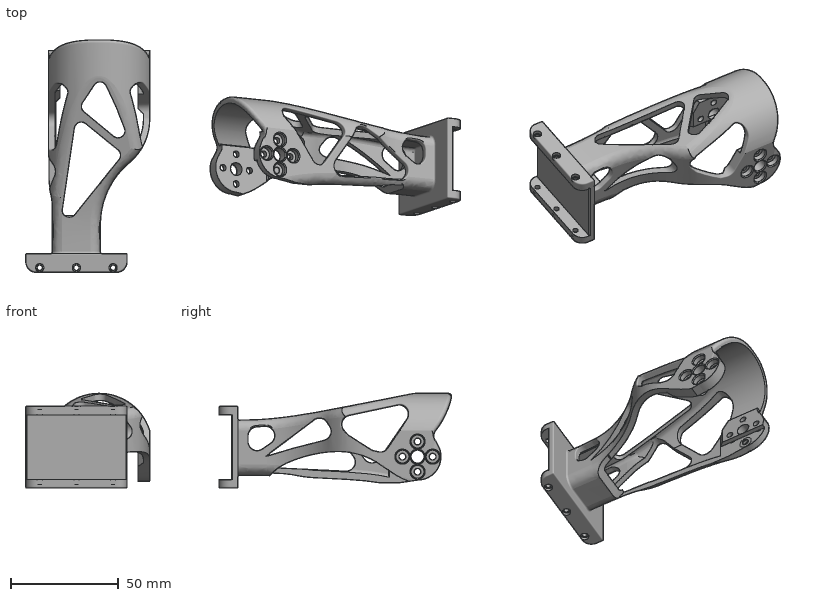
import cadquery as cq
import math


FAR = 60.0
WALL = 3.0

PLATE_WIDTH = 47.0
PLATE_HEIGHT = 37.98
PLATE_THICKNESS = 3.0
PLATE_CENTER_X = -10.5
PLATE_BOTTOM = -14.6
FLANGE_DEPTH = 8.75
FLANGE_THICKNESS = 4.0
FLANGE_CORNER = 5.0
STEM_BASE_FILLET = 0.8
PLATE_EDGE = 0.6
SCREW_HOLE = 2.4
SCREW_HEAD = 3.8
SCREW_HEAD_DEPTH = 1.6
SCREW_PITCH = 17.0
SCREW_INSET = 2.2

BODY_HALF_WIDTH = 23.5
ARCH_TOP = 29.38
ARCH_SPRING = 12.0
MOUTH_Y = 15.76
RIM_FILLET = 1.5
CHEEK_RADIUS = 10.9

PLATE_FRONT_Y = MOUTH_Y - 107.76
PLATE_BACK_Y = PLATE_FRONT_Y + FLANGE_DEPTH
STEM_END_Y = PLATE_BACK_Y - PLATE_THICKNESS / 2
STEM_LEFT = -21.7
STEM_RIGHT = 0.65
LEFT_BEND_START_Y = -62.0
LEFT_BEND_END_Y = -48.0
RIGHT_BEND_START_Y = -69.6
RIGHT_BEND_MID = (14.0, -41.2)
RIGHT_BEND_END_Y = -21.0

STEM_TOP = 17.0
ROOF_LINE = [(-60.0, 18.5), (-34.6, 22.9), (-1.5, 29.38), (FAR, 41.4)]
STEM_BOTTOM = -8.8
KEEL_LINE = [(-70.0, -8.8), (-45.0, -10.2), (-18.0, -12.3), (-3.4, -15.5), (FAR, -30.0)]
ROOF_CLEARANCE = 0.02
EDGE_FILLET = 5.0

PAD_INNER_X = 18.0
PAD_TOP = 10.7
LEFT_PAD_BACK_Y = -11.0
PAD_CLEARANCE = 1.5
RIGHT_PAD_BACK_Y = -16.0
AXLE_HOLE = 6.0
CHEEK_SCREW = 3.0
CHEEK_SCREW_HEAD = 6.0
HOLE_CHAMFER = 0.5
CHEEK_SCREW_RADIUS = 7.0
CHEEK_WEB = 2.5

LIP_X = -20.0
UNDERSIDE_BACK_Y = -61.0
UNDERSIDE_TOP = -3.0

WINDOW_FILLET = 4.2
WINDOW_EDGE = 0.5
FRONT_POCKET_X = 5.0
TOUCH = 1e-4
LEFT_POCKET_X = -15.0
FRONT_WINDOW = [(0.9, 26.0), (-38.4, 17.6), (-21.0, -5.9)]
REAR_WINDOW = [(-44.3, 19.7), (-24.4, -7.1), (-77.1, -4.6)]
STEM_WINDOW = [(-66.2, 14.3), (-78.5, 13.5), (-78.5, -1.0), (-66.2, 7.5)]
RIGHT_FRONT_WINDOW = [(0.9, 26.0), (-38.4, 17.6), (-32.4, 10.2), (-21.0, 2.9), (-15.2, 1.7)]
RIGHT_REAR_WINDOW = [(-44.3, 19.7), (-37.8, 9.3), (-44.0, 7.4), (-57.7, 3.9), (-70.3, 0.1)]
RIB_UNDERSIDE = [(-14.8, -5.4), (-20.0, -2.0), (-31.8, 2.0), (-42.3, 2.0), (-50.9, 0.4),
                 (-57.7, -1.8), (-64.2, -5.0), (-70.0, -11.0)]
RIB_START = (-3.0, -11.7)

UPPER_ROOF_WINDOW = [(0.9, -0.4), (7.9, -15.4), (16.2, -36.7), (-9.2, -15.7)]
LOWER_ROOF_WINDOW = [(-10.6, -19.5), (11.2, -37.2), (-18.7, -74.4)]
ROOF_WINDOW_FILLET = 3.2


def box(x0, x1, y0, y1, z0, z1):
    return cq.Workplane("XY").box(x1 - x0, y1 - y0, z1 - z0, centered=False).translate((x0, y0, z0))


def lower(points, drop):
    """Shift a list of (Y, Z) points down by the given amount."""
    return [(y, z - drop) for y, z in points]


def arch_body(inset):
    """Arch-topped section run along Y, cut off by the sloping roof, with the roof edges rounded."""
    rise = ARCH_TOP - ARCH_SPRING
    radius = (BODY_HALF_WIDTH**2 + rise**2) / (2 * rise)
    arch = (
        cq.Workplane("XZ", origin=(0, FAR, ARCH_TOP - radius))
        .circle(radius - inset)
        .extrude(2.5 * FAR)
    )
    base = box(inset - radius, radius - inset, -1.5 * FAR, FAR, -FAR, ARCH_TOP - radius)
    arch = arch.union(base).intersect(roofed_side(inset, -EDGE_FILLET))
    return arch.edges("%BSPLINE").edges(">Z").fillet(EDGE_FILLET - inset)


def roofed_side(roof_drop, keel_rise):
    """Prism along X between the sloping roof and the keel, each shifted towards the inside."""
    roof = lower(ROOF_LINE, roof_drop)
    keel = lower(KEEL_LINE, -keel_rise)
    return (
        cq.Workplane("YZ", origin=(-FAR, 0, 0))
        .moveTo(STEM_END_Y, STEM_TOP - roof_drop)
        .spline(roof, includeCurrent=True)
        .lineTo(*keel[-1])
        .spline(keel[-2::-1] + [(STEM_END_Y, STEM_BOTTOM + keel_rise)], includeCurrent=True)
        .close()
        .extrude(2 * FAR)
    )


def hinge_outline():
    """Side outline of the mouth and hinge cheeks, in YZ, open-ended towards the stem."""
    upper = math.radians(22)
    front = math.radians(-40)
    return (
        cq.Workplane("YZ", origin=(-FAR, 0, 0))
        .moveTo(-2 * FAR, FAR)
        .lineTo(MOUTH_Y, FAR)
        .lineTo(MOUTH_Y, 27.2)
        .threePointArc((12.9, 19.3), (8.4, ARCH_SPRING))
        .threePointArc((7.6, 10.0), (8.6, 7.0))
        .lineTo(CHEEK_RADIUS * math.cos(upper), CHEEK_RADIUS * math.sin(upper))
        .threePointArc(
            (CHEEK_RADIUS * math.cos(front), CHEEK_RADIUS * math.sin(front)),
            (0, -CHEEK_RADIUS),
        )
        .lineTo(-8.7, -12.2)
        .lineTo(-17.2, -12.2)
        .lineTo(-2 * FAR, -12.2)
        .close()
    )


def plan_outline(inset):
    """Plan outline of the arm, in XY, running past the mouth."""
    end_y = STEM_END_Y - 2 * WALL
    left_mid = ((STEM_LEFT - BODY_HALF_WIDTH) / 2, (LEFT_BEND_START_Y + LEFT_BEND_END_Y) / 2)
    outline = (
        cq.Workplane("XY", origin=(0, 0, -FAR))
        .moveTo(STEM_LEFT, end_y)
        .lineTo(STEM_LEFT, LEFT_BEND_START_Y)
        .tangentArcPoint(left_mid, relative=False)
        .tangentArcPoint((-BODY_HALF_WIDTH, LEFT_BEND_END_Y), relative=False)
        .lineTo(-BODY_HALF_WIDTH, FAR)
        .lineTo(BODY_HALF_WIDTH, FAR)
        .lineTo(BODY_HALF_WIDTH, RIGHT_BEND_END_Y)
        .tangentArcPoint(RIGHT_BEND_MID, relative=False)
        .tangentArcPoint((STEM_RIGHT, RIGHT_BEND_START_Y), relative=False)
        .lineTo(STEM_RIGHT, end_y)
        .close()
    )
    return outline.offset2D(-inset) if inset else outline


def plan_body(inset):
    """Planform between roof and keel, with its four long edges rounded."""
    side = roofed_side(inset - ROOF_CLEARANCE, inset)
    block = side.intersect(plan_outline(inset).extrude(2 * FAR))
    return block.edges("not(|X or |Z)").fillet(EDGE_FILLET - inset)


RIM_BOX = cq.selectors.BoxSelector((-FAR, 8.0, ARCH_SPRING), (FAR, FAR, FAR))


def hollow_arm():
    """Shell of the arm with its windows and the thickened hinge cheeks."""
    hinge = hinge_outline().extrude(2 * FAR)
    hood = arch_body(0).intersect(hinge)
    hood = hood.edges(RIM_BOX).fillet(RIM_FILLET)
    outer = hood.intersect(plan_body(0))
    for window in rounded_windows():
        outer = cut_rounded_window(outer, window)
    for window in plain_windows():
        outer = outer.cut(window)
    cavity = arch_body(WALL).intersect(plan_body(WALL))
    cavity = cavity.intersect(box(-FAR, FAR, PLATE_BACK_Y, FAR, -FAR, FAR))
    shell = outer.cut(cavity)
    for side, back_y in ((-1, LEFT_PAD_BACK_Y), (1, RIGHT_PAD_BACK_Y)):
        pad = cheek_pad(side, back_y).intersect(outer)
        if side < 0:
            pad = pad.cut(side_window(FRONT_WINDOW, -FAR, FAR, clearance=PAD_CLEARANCE))
        shell = shell.union(pad)
    return shell


def cheek_pad(side, back_y):
    """Inner pad of one cheek with a 45 degree step at its back end."""
    wall_x = BODY_HALF_WIDTH - WALL / 2
    step = wall_x - PAD_INNER_X
    return (
        cq.Workplane("XY", origin=(0, 0, -FAR))
        .moveTo(side * PAD_INNER_X, FAR)
        .lineTo(side * PAD_INNER_X, back_y)
        .lineTo(side * wall_x, back_y - step)
        .lineTo(side * wall_x, FAR)
        .close()
        .extrude(FAR + PAD_TOP)
    )


def underside_cut():
    """Opens the keel between the left lip and the right cheek, then trims the right wall to the rib."""
    opening = box(LIP_X, PAD_INNER_X, UNDERSIDE_BACK_Y, FAR, -FAR, UNDERSIDE_TOP)
    below_rib = (
        cq.Workplane("YZ", origin=(LIP_X, 0, 0))
        .moveTo(RIB_START[0], -FAR)
        .lineTo(*RIB_START)
        .spline(RIB_UNDERSIDE, includeCurrent=True)
        .lineTo(RIB_UNDERSIDE[-1][0], -FAR)
        .close()
        .extrude(FAR)
    )
    return opening.union(below_rib)


def side_window(corners, x_start, depth, sharp_tail=False, clearance=0):
    """Window prism along X; a sharp tail leaves its rearmost corner unrounded."""
    window = cq.Workplane("YZ", origin=(x_start, 0, 0)).polyline(corners).close()
    if clearance:
        window = window.offset2D(clearance, "intersection")
    window = window.extrude(depth)
    corner_edges = window.edges("|X")
    if sharp_tail:
        corner_edges = corner_edges.edges("not(<Y)")
    return corner_edges.fillet(WINDOW_FILLET)


def roof_window(corners):
    window = cq.Workplane("XY", origin=(0, 0, PAD_TOP)).polyline(corners).close().extrude(FAR)
    return window.edges("|Z").fillet(ROOF_WINDOW_FILLET)


def rounded_windows():
    """Windows whose rims are rounded on the outer skin."""
    return [
        side_window(REAR_WINDOW, -FAR, FAR + LEFT_POCKET_X),
        side_window(FRONT_WINDOW, -FAR, FAR - FRONT_POCKET_X),
        side_window(STEM_WINDOW, -FAR, FAR + LEFT_POCKET_X),
        side_window(STEM_WINDOW, (STEM_LEFT + STEM_RIGHT) / 2, FAR),
        side_window(RIGHT_FRONT_WINDOW, FRONT_POCKET_X, FAR),
    ]


def plain_windows():
    """Windows with sharp rims."""
    return [
        side_window(RIGHT_REAR_WINDOW, LEFT_POCKET_X, 2 * FAR, sharp_tail=True),
        roof_window(UPPER_ROOF_WINDOW),
        roof_window(LOWER_ROOF_WINDOW),
    ]


def cut_rounded_window(body, window):
    """Sink a window prism into the body and round the rim it leaves on the outer skin."""
    skin = cq.Shell.makeShell(body.faces().vals())
    walls = cq.Shell.makeShell(window.faces().vals())
    pocketed = body.cut(window)
    rim = []
    for edge in pocketed.edges().vals():
        middle = cq.Vertex.makeVertex(*edge.positionAt(0.5).toTuple())
        if middle.distance(skin) < TOUCH and middle.distance(walls) < TOUCH:
            rim.append(edge)
    return pocketed.newObject(rim).fillet(WINDOW_EDGE)


def cheek_holes():
    """Axle hole, and four screw holes with sunk heads, through both cheeks."""
    holes = cylinder_x(-FAR, FAR, 0, 0, AXLE_HOLE)
    holes = holes.union(mouth_chamfers(0, 0, AXLE_HOLE))
    head_x = PAD_INNER_X + CHEEK_WEB
    for turn in range(4):
        angle = math.radians(90 * turn)
        y = CHEEK_SCREW_RADIUS * math.cos(angle)
        z = CHEEK_SCREW_RADIUS * math.sin(angle)
        holes = holes.union(cylinder_x(-FAR, FAR, y, z, CHEEK_SCREW))
        holes = holes.union(cylinder_x(-FAR, -head_x, y, z, CHEEK_SCREW_HEAD))
        holes = holes.union(cylinder_x(head_x, FAR, y, z, CHEEK_SCREW_HEAD))
        holes = holes.union(mouth_chamfers(y, z, CHEEK_SCREW_HEAD))
    return holes


def cylinder_x(x0, x1, y, z, diameter):
    return cq.Workplane("YZ", origin=(x0, y, z)).circle(diameter / 2).extrude(x1 - x0)


def mouth_chamfers(y, z, diameter):
    """Cones that chamfer a hole where it opens on the two outer cheek faces."""
    wide = diameter / 2 + HOLE_CHAMFER
    cones = [
        cq.Solid.makeCone(
            wide, diameter / 2, HOLE_CHAMFER,
            pnt=cq.Vector(side * BODY_HALF_WIDTH, y, z), dir=cq.Vector(-side, 0, 0),
        )
        for side in (-1, 1)
    ]
    return cq.Workplane("XY").newObject([cq.Compound.makeCompound(cones)])


def mounting_plate():
    """Plate with an upper and a lower screw flange."""
    left = PLATE_CENTER_X - PLATE_WIDTH / 2
    right = PLATE_CENTER_X + PLATE_WIDTH / 2
    top = PLATE_BOTTOM + PLATE_HEIGHT
    plate = box(left, right, PLATE_FRONT_Y, PLATE_BACK_Y, PLATE_BOTTOM, top)
    plate = plate.edges("|Z and <Y").fillet(FLANGE_CORNER)
    plate = plate.faces(">Z or <Z or >Y").edges().fillet(PLATE_EDGE)
    plate = plate.cut(
        box(left, right, PLATE_FRONT_Y, PLATE_BACK_Y - PLATE_THICKNESS,
            PLATE_BOTTOM + FLANGE_THICKNESS, top - FLANGE_THICKNESS)
    )
    pocket_floor = cq.selectors.BoxSelector(
        (left - 1, PLATE_BACK_Y - PLATE_THICKNESS - 0.1, PLATE_BOTTOM),
        (right + 1, PLATE_BACK_Y - PLATE_THICKNESS + 0.1, top),
    )
    plate = plate.edges(pocket_floor).edges("|Z").chamfer(PLATE_EDGE)
    for column in (-1, 0, 1):
        x = PLATE_CENTER_X + column * SCREW_PITCH
        y = PLATE_FRONT_Y + SCREW_INSET
        hole = cq.Workplane("XY", origin=(x, y, PLATE_BOTTOM)).circle(SCREW_HOLE / 2)
        plate = plate.cut(hole.extrude(PLATE_HEIGHT))
        for head_z in (PLATE_BOTTOM, top - SCREW_HEAD_DEPTH):
            head = cq.Workplane("XY", origin=(x, y, head_z)).circle(SCREW_HEAD / 2)
            plate = plate.cut(head.extrude(SCREW_HEAD_DEPTH))
    return plate


def build():
    arm = hollow_arm().cut(underside_cut()).cut(cheek_holes())
    part = arm.union(mounting_plate())
    stem_base = cq.selectors.BoxSelector(
        (STEM_LEFT - 1, PLATE_BACK_Y - 0.1, STEM_BOTTOM - 1),
        (STEM_RIGHT + 1, PLATE_BACK_Y + 0.1, STEM_TOP + 1),
    )
    return part.edges(stem_base).fillet(STEM_BASE_FILLET)


result = build()